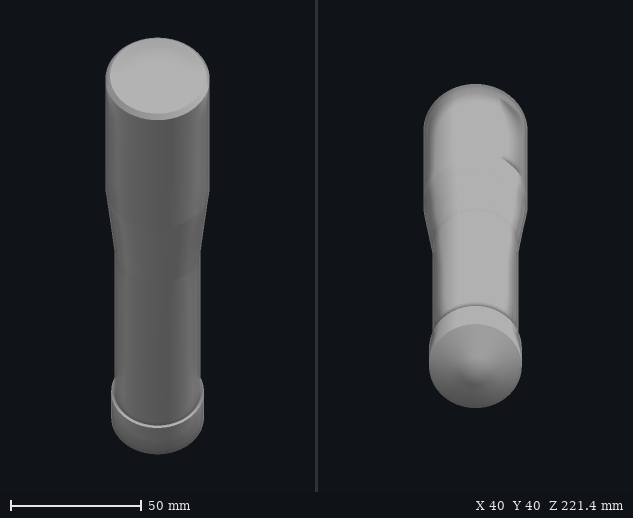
import cadquery as cq

total_length = 221.4
point_height = 6.5
collar_length = 16.5
shank_length = 70.0
taper_length = 38.5

shank_diameter = 40.0
neck_diameter = 33.2
tip_diameter = 35.6

chamfer_width = 1.8

flat_depth = 1.0
flat_top_gap = 7.7
flat_length = 56.2

shank_radius = shank_diameter / 2
neck_radius = neck_diameter / 2
tip_radius = tip_diameter / 2
tip_top = point_height + collar_length
shank_bottom = total_length - shank_length
neck_top = shank_bottom - taper_length
flat_top = total_length - flat_top_gap
flat_bottom = flat_top - flat_length


def make_holder():
    """Turned neck, taper and chamfered shank with a clamping flat."""
    turned = (
        cq.Workplane("XZ")
        .moveTo(0, tip_top)
        .lineTo(neck_radius, tip_top)
        .lineTo(neck_radius, neck_top)
        .lineTo(shank_radius, shank_bottom)
        .lineTo(shank_radius, total_length - chamfer_width)
        .lineTo(shank_radius - chamfer_width, total_length)
        .lineTo(0, total_length)
        .close()
        .revolve(360, (0, 0, 0), (0, 1, 0))
    )
    return turned.cut(make_flat_cutter())


def make_flat_cutter():
    """Trapezoid in the YZ plane, wide enough to span the whole shank."""
    floor = shank_radius - flat_depth
    return (
        cq.Workplane("YZ")
        .moveTo(shank_radius, flat_top)
        .lineTo(floor, flat_top - flat_depth)
        .lineTo(floor, flat_bottom + flat_depth)
        .lineTo(shank_radius, flat_bottom)
        .close()
        .extrude(shank_radius, both=True)
    )


def make_tip():
    """Cylindrical collar with a conical point, butted against the neck."""
    return (
        cq.Workplane("XZ")
        .lineTo(tip_radius, point_height)
        .lineTo(tip_radius, tip_top)
        .lineTo(0, tip_top)
        .close()
        .revolve(360, (0, 0, 0), (0, 1, 0))
    )


holder = make_holder()
tip = make_tip()
result = cq.Compound.makeCompound([holder.val(), tip.val()])